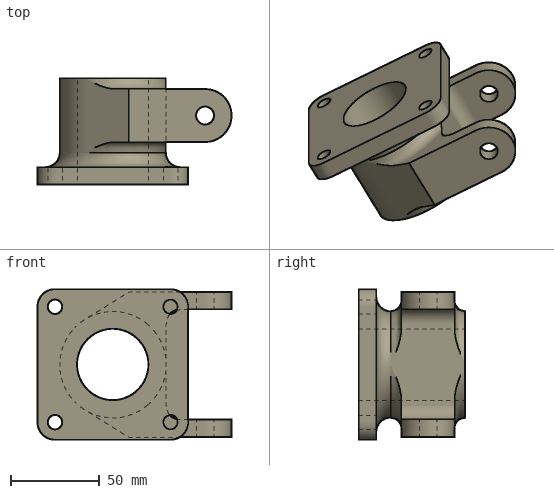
import cadquery as cq
import math

overall_length = 109.5
flange_side = 85.0
flange_thickness = 10.0
flange_corner_radius = 10.0
bolt_offset = 32.5
bolt_hole_diameter = 8.0

barrel_radius = 30.0
bore_radius = 20.0
flange_fillet = 8.0

lug_width = 30.0
lug_thickness = 10.0
lug_top = 41.0
lug_ramp_end_x = 9.0
lug_inner_fillet = 8.0
lug_side_fillet = 6.0
pin_hole_diameter = 10.0

eye_radius = lug_width / 2
lug_start_y = flange_thickness + flange_fillet + lug_side_fillet
lug_end_y = lug_start_y + lug_width
lug_mid_y = lug_start_y + eye_radius
barrel_end_y = lug_end_y + lug_side_fillet
lug_tip_x = overall_length - flange_side / 2
pin_x = lug_tip_x - eye_radius


def along_y(start_y):
    """XZ workplane at start_y; negative extrusion lengths run toward +Y."""
    return cq.Workplane(cq.Plane(origin=(0, start_y, 0), xDir=(1, 0, 0), normal=(0, -1, 0)))


def make_flange():
    plate = cq.Workplane("XY").box(flange_side, flange_thickness, flange_side, centered=(True, False, True))
    return plate.edges("|Y").fillet(flange_corner_radius)


def concave_midpoint(center_u, center_v, radius, angle):
    return (center_u + radius * math.cos(angle), center_v + radius * math.sin(angle))


def make_barrel():
    """Solid barrel that flares into the flange with a concave fillet."""
    fillet_outer = barrel_radius + flange_fillet
    fillet_end_y = flange_thickness + flange_fillet
    fillet_mid = concave_midpoint(fillet_outer, fillet_end_y, flange_fillet, math.radians(225))
    return (
        cq.Workplane("XY")
        .lineTo(fillet_outer, 0)
        .lineTo(fillet_outer, flange_thickness)
        .threePointArc(fillet_mid, (barrel_radius, fillet_end_y))
        .lineTo(barrel_radius, barrel_end_y)
        .lineTo(0, barrel_end_y)
        .close()
        .revolve(360, (0, 0, 0), (0, 1, 0))
    )


def lug_profile(start_y, length):
    """Upper lug outline: a ramp tangent to the barrel, a flat top and a filleted underside."""
    ramp_distance = math.hypot(lug_ramp_end_x, lug_top)
    tangent_angle = math.atan2(lug_top, lug_ramp_end_x) + math.acos(barrel_radius / ramp_distance)
    tangent_point = (barrel_radius * math.cos(tangent_angle), barrel_radius * math.sin(tangent_angle))
    underside = lug_top - lug_thickness
    fillet_x = barrel_radius + lug_inner_fillet
    fillet_z = underside - lug_inner_fillet
    fillet_mid = concave_midpoint(fillet_x, fillet_z, lug_inner_fillet, math.radians(135))
    return (
        along_y(start_y)
        .lineTo(*tangent_point)
        .lineTo(lug_ramp_end_x, lug_top)
        .lineTo(lug_tip_x, lug_top)
        .lineTo(lug_tip_x, underside)
        .lineTo(fillet_x, underside)
        .threePointArc(fillet_mid, (barrel_radius, fillet_z))
        .lineTo(barrel_radius, 0)
        .close()
        .extrude(-length)
    )


def make_side_fillets():
    """Concave rings that blend both side faces of a lug into the barrel."""
    ring_outer = barrel_radius + lug_side_fillet
    gap_start_y = lug_start_y - lug_side_fillet
    front_mid = concave_midpoint(ring_outer, gap_start_y, lug_side_fillet, math.radians(135))
    back_mid = concave_midpoint(ring_outer, barrel_end_y, lug_side_fillet, math.radians(225))
    return (
        cq.Workplane("XY")
        .moveTo(0, gap_start_y)
        .lineTo(barrel_radius, gap_start_y)
        .threePointArc(front_mid, (ring_outer, lug_start_y))
        .lineTo(ring_outer, lug_end_y)
        .threePointArc(back_mid, (barrel_radius, barrel_end_y))
        .lineTo(0, barrel_end_y)
        .close()
        .revolve(360, (0, 0, 0), (0, 1, 0))
    )


def make_lug():
    """Upper lug with a rounded end, a pin hole and side fillets."""
    rounded_end = (
        cq.Workplane("XY")
        .center(pin_x, lug_mid_y)
        .circle(eye_radius)
        .extrude(lug_top)
    )
    straight_part = cq.Workplane("XY").box(
        pin_x + barrel_radius, lug_width, lug_top, centered=False
    ).translate((-barrel_radius, lug_start_y, 0))
    arm = lug_profile(lug_start_y, lug_width).intersect(straight_part.union(rounded_end))
    pin_hole = (
        cq.Workplane("XY")
        .center(pin_x, lug_mid_y)
        .circle(pin_hole_diameter / 2)
        .extrude(lug_top)
    )
    gap_start_y = lug_start_y - lug_side_fillet
    side_fillets = lug_profile(gap_start_y, barrel_end_y - gap_start_y).intersect(make_side_fillets())
    return arm.cut(pin_hole).union(side_fillets)


upper_lug = make_lug()
lower_lug = upper_lug.mirror("XY")
bore = along_y(0).circle(bore_radius).extrude(-barrel_end_y)
bolt_holes = (
    along_y(0)
    .rect(2 * bolt_offset, 2 * bolt_offset, forConstruction=True)
    .vertices()
    .circle(bolt_hole_diameter / 2)
    .extrude(-(flange_thickness + flange_fillet))
)

result = make_flange().union(make_barrel()).union(upper_lug).union(lower_lug).cut(bore).cut(bolt_holes)